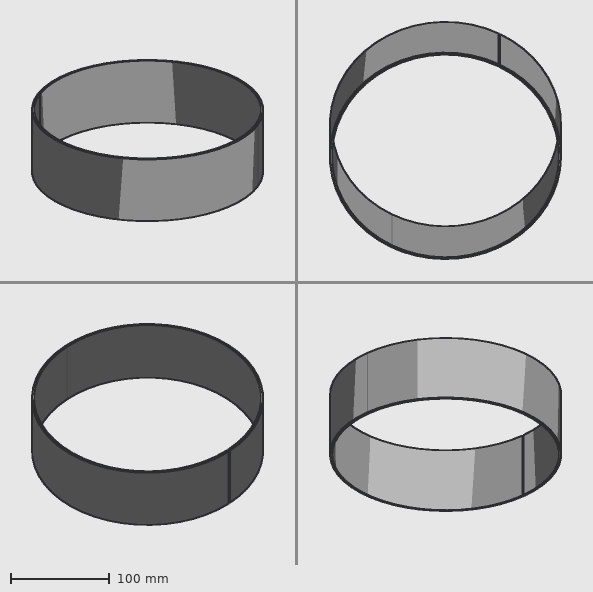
import cadquery as cq

outer_diameter = 235.0
wall_thickness = 2.5
height = 70.0
outer_rim_chamfer = 0.5
inner_rim_chamfer = 0.2
gap_width = 2.0

outer_radius = outer_diameter / 2
inner_radius = outer_radius - wall_thickness


def make_band():
    """Closed band standing on the XY plane, chamfered on all four rims."""
    band = cq.Workplane("XY").circle(outer_radius).circle(inner_radius).extrude(height)
    inner_rims = cq.selectors.RadiusNthSelector(0)
    outer_rims = cq.selectors.RadiusNthSelector(-1)
    band = band.edges("%CIRCLE").edges(outer_rims).chamfer(outer_rim_chamfer)
    return band.edges("%CIRCLE").edges(inner_rims).chamfer(inner_rim_chamfer)


def make_gap():
    """Slab on the -X side that opens the wall over its full height."""
    slab = cq.Workplane("XY").box(outer_radius, gap_width, height, centered=False)
    return slab.translate((-outer_radius, 0, 0))


result = make_band().cut(make_gap())